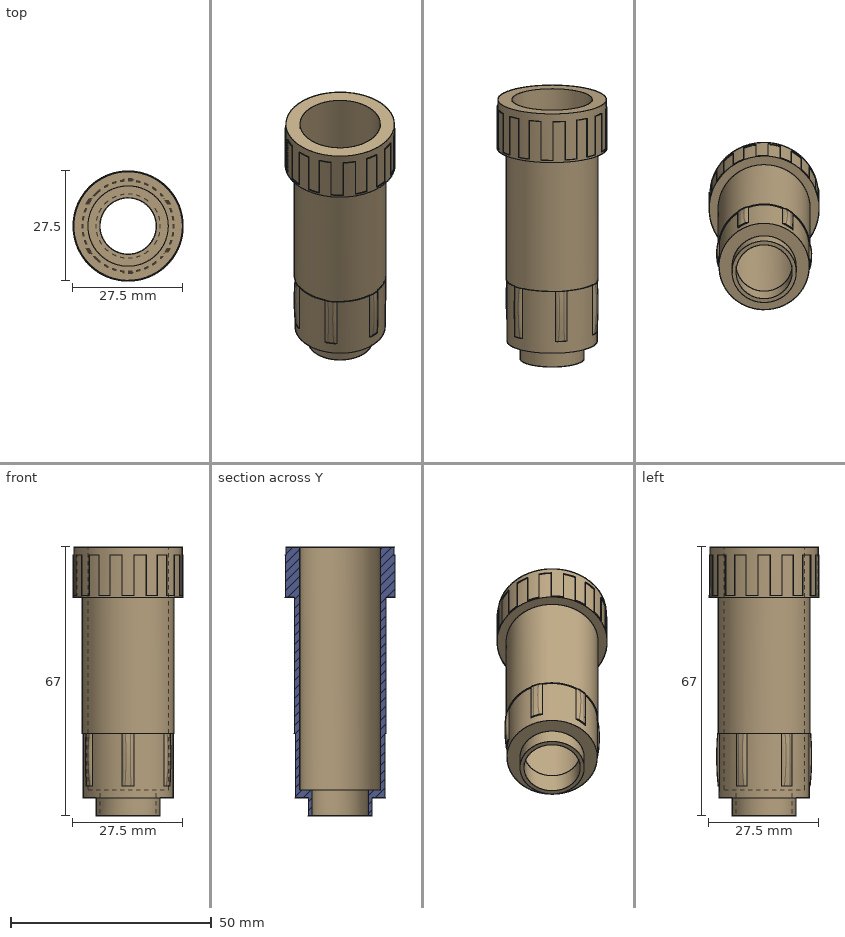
import cadquery as cq
import math

total_height = 67.0
nozzle_diameter = 16.0
nozzle_height = 4.5
collar_diameter = 22.5
collar_top = 20.5
body_diameter = 23.0
head_bottom = 54.5
head_diameter = 27.1

upper_bore_diameter = 20.0
lower_bore_diameter = 14.0
bore_floor_thickness = 2.0
bore_floor_z = nozzle_height + bore_floor_thickness

grip_diameter = 27.5
grip_top = 65.0
flute_count = 14
flute_width = 3.0
flute_bottom = 55.0
flute_cut_length = 6.7

rib_count = 6
rib_base_width = 3.0
rib_bottom = 7.5
rib_peak_z = 14.75
rib_peak_radius = 11.85
rib_bow_radius = 67.0
rib_edge_radius = 1.0
rib_section_count = 7
rib_base_radius = math.sqrt((collar_diameter / 2) ** 2 - (rib_base_width / 2) ** 2)
rib_root_radius = (collar_diameter + upper_bore_diameter) / 4

front_angle = -90.0


def cylinder(diameter, bottom, top):
    return cq.Workplane("XY").workplane(offset=bottom).circle(diameter / 2).extrude(top - bottom)


def around_axis(shape, count):
    """Copies of a shape built along +X, evenly spaced about Z."""
    copies = cq.Workplane("XY")
    for index in range(count):
        angle = front_angle + index * 360.0 / count
        copies = copies.add(shape.rotate((0, 0, 0), (0, 0, 1), angle))
    return copies.vals()


def grip_band():
    """Ring of raised pads left between flutes that are open at the top.

    The flutes run well into the band, and the head core that joins it is their floor.
    """
    band = cylinder(grip_diameter, head_bottom, grip_top)
    flute = (
        cq.Workplane("XY")
        .workplane(offset=flute_bottom)
        .center(grip_diameter / 2, 0)
        .rect(flute_cut_length, flute_width)
        .extrude(grip_top - flute_bottom)
    )
    for cutter in around_axis(flute, flute_count):
        band = band.cut(cq.Workplane(cutter))
    return band


def rib_section(z):
    """Rib outline at height z.

    Its round edges start on the base edges and end tangent to the flat crest.
    """
    half_base = rib_base_width / 2
    crest_drop = rib_bow_radius - math.sqrt(rib_bow_radius ** 2 - (z - rib_peak_z) ** 2)
    crest_radius = rib_peak_radius - crest_drop
    edge_center_radius = crest_radius - rib_edge_radius
    edge_start_angle = math.asin((rib_base_radius - edge_center_radius) / rib_edge_radius)
    half_crest = half_base - rib_edge_radius * math.cos(edge_start_angle)
    edge_middle_angle = (edge_start_angle + math.pi / 2) / 2
    middle_radius = edge_center_radius + rib_edge_radius * math.sin(edge_middle_angle)
    half_middle = half_crest + rib_edge_radius * math.cos(edge_middle_angle)
    outline = (
        cq.Workplane("XY")
        .workplane(offset=z)
        .moveTo(rib_root_radius, -half_base)
        .lineTo(rib_base_radius, -half_base)
        .threePointArc((middle_radius, -half_middle), (crest_radius, -half_crest))
        .lineTo(crest_radius, half_crest)
        .threePointArc((middle_radius, half_middle), (rib_base_radius, half_base))
        .lineTo(rib_root_radius, half_base)
        .close()
    )
    return outline.val()


def collar_rib():
    """Rib along +X, bowed along its height."""
    spacing = (collar_top - rib_bottom) / (rib_section_count - 1)
    sections = [rib_section(rib_bottom + index * spacing) for index in range(rib_section_count)]
    return cq.Workplane(cq.Solid.makeLoft(sections))


part = cylinder(nozzle_diameter, 0, nozzle_height)
part = part.union(cylinder(collar_diameter, nozzle_height, collar_top))
part = part.union(cylinder(body_diameter, collar_top, head_bottom))
part = part.union(cylinder(head_diameter, head_bottom, total_height))
part = part.union(grip_band())
for rib in around_axis(collar_rib(), rib_count):
    part = part.union(cq.Workplane(rib))

part = part.cut(cylinder(lower_bore_diameter, 0, bore_floor_z))
result = part.cut(cylinder(upper_bore_diameter, bore_floor_z, total_height))